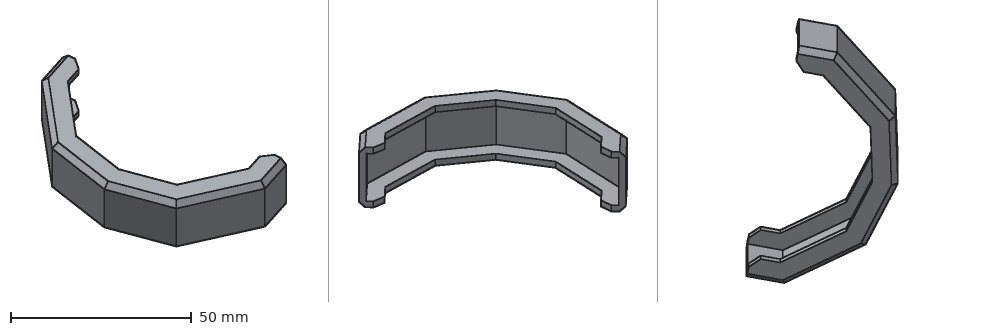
import cadquery as cq

height = 19.0
wall = 7.0
edge_chamfer = 1.75
tilt = -15.0

lower_corner_x = 20.55
lower_corner_y = 4.9
half_width = 36.9
shoulder_y = 24.6
arm_length = 10.7

lip_height = 2.0
web = 2.0

tip_bevel_across = 3.0
tip_bevel_along = 2.7

tip_y = shoulder_y + arm_length
blank_y = tip_y + 2 * wall
inner_half_width = half_width - wall


def outer_outline():
    """Closed outline of the outer faces, extended beyond the arm tips."""
    right_side = [
        (lower_corner_x, lower_corner_y),
        (half_width, shoulder_y),
        (half_width, blank_y),
    ]
    left_side = [(-x, y) for x, y in reversed(right_side)]
    return cq.Workplane("XY").polyline([(0, 0)] + right_side + left_side).close()


def make_blank():
    """Solid block with its outer top and bottom edges chamfered."""
    block = outer_outline().extrude(height)
    return block.faces("<Z or >Z").edges().chamfer(edge_chamfer)


def make_opening():
    """Interior of the clip, one wall thickness inside the outer faces."""
    return outer_outline().offset2D(-wall, "intersection").extrude(height)


def make_channel():
    """Channel between the two lips, reaching outward to the web."""
    channel = outer_outline().offset2D(-web, "intersection").extrude(height - 2 * lip_height)
    return channel.translate((0, 0, lip_height))


def make_end_trim():
    """Block covering everything beyond the square ends of the arms."""
    trim_depth = blank_y - tip_y
    return (
        cq.Workplane("XY")
        .rect(2 * half_width, trim_depth)
        .extrude(height)
        .translate((0, tip_y + trim_depth / 2, 0))
    )


def make_tip_bevel(side):
    """Triangular wedge at the inner corner of one arm tip; side is -1 or 1."""
    inner_x = side * inner_half_width
    return (
        cq.Workplane("XY")
        .moveTo(inner_x, tip_y)
        .lineTo(inner_x + side * tip_bevel_across, tip_y)
        .lineTo(inner_x, tip_y - tip_bevel_along)
        .close()
        .extrude(height)
    )


clip = make_blank().cut(make_opening()).cut(make_channel()).cut(make_end_trim())
for side in (-1, 1):
    clip = clip.cut(make_tip_bevel(side))

result = clip.rotate((0, 0, 0), (0, 0, 1), tilt)